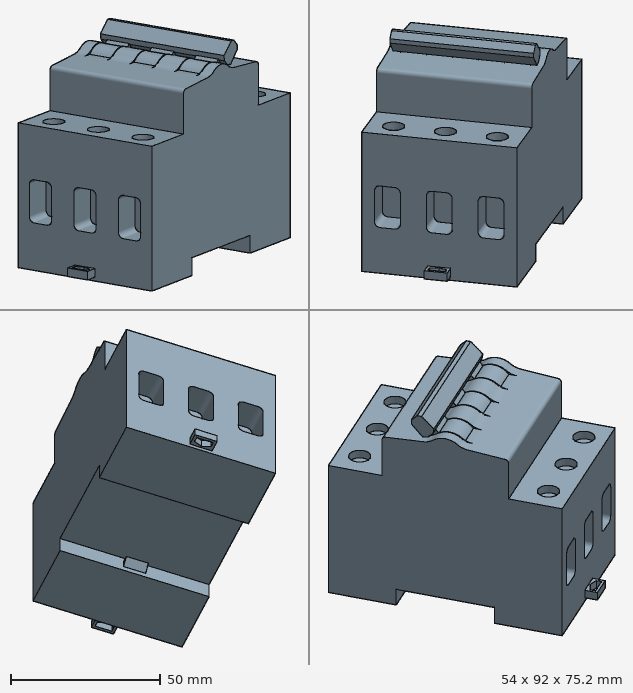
import cadquery as cq
import math


pole_count = 3
pole_width = 18.0
body_width = pole_count * pole_width
pole_centers = [(i - (pole_count - 1) / 2) * pole_width for i in range(pole_count)]

body_length = 83.0
ledge_height = 50.3

raised_length = 45.0
shoulder_height = 65.6
shoulder_slope = math.radians(4.2)
shoulder_radius = 1.5
half_raised = raised_length / 2

hump_radius = 7.0
hump_top = 69.5
hump_axis_height = hump_top - hump_radius
hump_blend_radius = 7.0

slot_width = pole_width / 2
slot_half_length = 8.0
slot_floor = shoulder_height + (half_raised - slot_half_length) * math.tan(shoulder_slope)
drum_radius = hump_radius
drum_top = 69.3
drum_center_y = 0.15

bar_width = 50.0
bar_height = 8.2
bar_tip_thickness = 5.2
bar_root_thickness = 5.6
bar_tip_chamfer = 1.1
bar_root_chamfer_height = 1.15
bar_root_chamfer_depth = 1.6
bar_tilt = math.radians(45.0)
bar_center_y = 8.8
overall_height = 75.23
bar_rise = (
    (bar_height / 2 - bar_tip_chamfer) * math.cos(bar_tilt)
    + bar_tip_thickness / 2 * math.sin(bar_tilt)
)
bar_center_z = overall_height - bar_rise
stem_thickness = 2.8
stem_length = 8.0

notch_length = 34.8
notch_height = 6.2
hook_size = 2.5

tab_width = 8.0
tab_length = 4.5
tab_bottom = 1.4
tab_top = 4.4
tab_wall = 1.0
tab_hole_depth = 1.85
tab_hole_peak = 1.1

screw_diameter = 7.4
screw_depth = 3.0
screw_offset = 33.5
wire_width = slot_width
wire_height = 15.0
wire_center_height = 24.0
wire_corner_radius = 2.0
wire_depth = 10.0


def x_prism(profile, width):
    """Extrude a closed YZ profile symmetrically about the middle of the breaker."""
    return profile.extrude(width / 2, both=True)


def make_housing():
    half_body = body_length / 2
    half_notch = notch_length / 2
    ridge_height = shoulder_height + half_raised * math.tan(shoulder_slope)
    profile = cq.Workplane("YZ").polyline([
        (-half_body, 0),
        (-half_body, ledge_height),
        (-half_raised, ledge_height),
        (-half_raised, shoulder_height),
        (0, ridge_height),
        (half_raised, shoulder_height),
        (half_raised, ledge_height),
        (half_body, ledge_height),
        (half_body, 0),
        (half_notch, 0),
        (half_notch, notch_height),
        (-half_notch, notch_height),
        (-half_notch, 0),
    ]).close()
    housing = x_prism(profile, body_width)
    hump = x_prism(cq.Workplane("YZ").center(0, hump_axis_height).circle(hump_radius), body_width)
    housing = housing.union(hump)

    shoulder_band = cq.selectors.BoxSelector(
        (-body_width, -body_length, shoulder_height - shoulder_radius),
        (body_width, body_length, shoulder_height + shoulder_radius / 2),
    )
    housing = housing.edges("|X").edges(shoulder_band).fillet(shoulder_radius)
    blend_band = cq.selectors.BoxSelector(
        (-body_width, -hump_radius, shoulder_height + shoulder_radius / 2),
        (body_width, hump_radius, hump_top - shoulder_radius / 2),
    )
    return housing.edges("|X").edges(blend_band).fillet(hump_blend_radius)


def make_drum_slot(x):
    return (
        cq.Workplane("XY", origin=(x, 0, slot_floor))
        .rect(slot_width, 2 * slot_half_length)
        .extrude(hump_top)
    )


def make_drum(x):
    profile = cq.Workplane("YZ", origin=(x, 0, 0)).center(drum_center_y, drum_top - drum_radius).circle(drum_radius)
    return x_prism(profile, slot_width)


def bar_section(x):
    """Cross-section frame at the bar's centre: local X runs through the bar, local Y up the tilted bar."""
    plane = cq.Plane(
        origin=(x, bar_center_y, bar_center_z),
        xDir=(0, math.cos(bar_tilt), -math.sin(bar_tilt)),
        normal=(1, 0, 0),
    )
    return cq.Workplane(plane)


def make_bar():
    """Wedge-shaped bar, slightly thicker at the root, with all four long corners chamfered."""
    half_height = bar_height / 2
    half_tip = bar_tip_thickness / 2
    half_root = bar_root_thickness / 2
    back_outline = [
        (half_tip - bar_tip_chamfer, half_height),
        (half_tip, half_height - bar_tip_chamfer),
        (half_root, bar_root_chamfer_height - half_height),
        (half_root - bar_root_chamfer_depth, -half_height),
    ]
    front_outline = [(-across, along) for across, along in reversed(back_outline)]
    return x_prism(bar_section(0).polyline(back_outline + front_outline).close(), bar_width)


def make_stem(x):
    profile = bar_section(x).center(0, -stem_length / 2).rect(stem_thickness, stem_length)
    return x_prism(profile, slot_width)


def make_tab(side):
    """Pull tab at one end; its hole comes to a shallow point next to the housing."""
    end_y = side * (body_length / 2 + tab_length)
    tab = (
        cq.Workplane("XY", origin=(0, end_y - side * tab_length / 2, tab_bottom))
        .rect(tab_width, tab_length)
        .extrude(tab_top - tab_bottom)
    )
    half_hole = tab_width / 2 - tab_wall
    outer_y = end_y - side * tab_wall
    inner_y = outer_y - side * tab_hole_depth
    hole = (
        cq.Workplane("XY", origin=(0, 0, tab_bottom))
        .moveTo(-half_hole, inner_y)
        .lineTo(-half_hole, outer_y)
        .lineTo(half_hole, outer_y)
        .lineTo(half_hole, inner_y)
        .lineTo(0, inner_y - side * tab_hole_peak)
        .close()
        .extrude(tab_top - tab_bottom)
    )
    return tab.cut(hole)


def make_hook(side):
    wall_y = side * notch_length / 2
    profile = cq.Workplane("YZ").polyline([
        (wall_y, tab_top),
        (wall_y - side * hook_size, tab_top),
        (wall_y, tab_top - hook_size),
    ]).close()
    return x_prism(profile, tab_width)


def make_screw_hole(x, side):
    return (
        cq.Workplane("XY", origin=(x, side * screw_offset, ledge_height))
        .circle(screw_diameter / 2)
        .extrude(-screw_depth)
    )


def make_wire_opening(x, side):
    center_y = side * (body_length - wire_depth) / 2
    return (
        cq.Workplane("XY", origin=(x, center_y, wire_center_height))
        .box(wire_width, wire_depth, wire_height)
        .edges("|Y")
        .fillet(wire_corner_radius)
    )


result = make_housing()

for x in pole_centers:
    result = result.cut(make_drum_slot(x))
    result = result.union(make_drum(x)).union(make_stem(x))
    for side in (-1, 1):
        result = result.cut(make_screw_hole(x, side))
        result = result.cut(make_wire_opening(x, side))

result = result.union(make_bar())

for side in (-1, 1):
    result = result.union(make_tab(side)).union(make_hook(side))